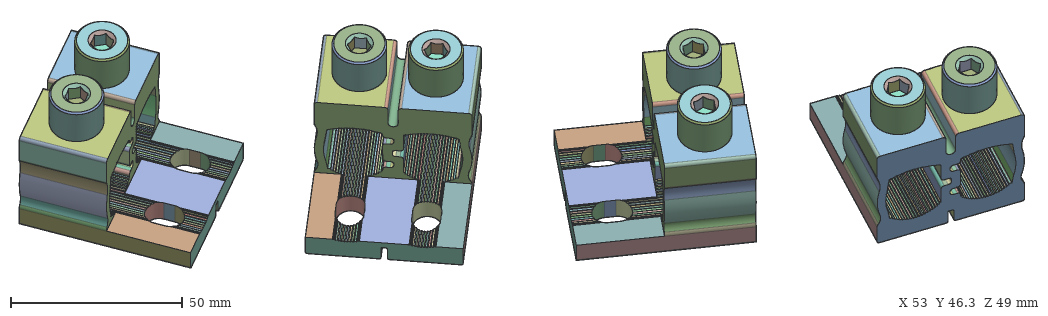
import cadquery as cq
import math

LENGTH = 53.0
WIDTH = 46.3
BLOCK_LENGTH = 27.05
BLOCK_HEIGHT = 37.0
PLATE_HEIGHT = 7.0
HALF_WIDTH = WIDTH / 2
TOP_CORNER_RADIUS = 1.0
BOTTOM_CORNER_RADIUS = 0.75

TOP_SLIT_WIDTH = 3.0
TOP_SLIT_FLOOR = 29.0
BOTTOM_SLIT_WIDTH = 1.8
BOTTOM_SLIT_HEIGHT = 4.9
BOTTOM_SLIT_RADIUS = 0.4

BORE_CENTER_Y = 11.25
BORE_INNER_Y = 3.1
BORE_OUTER_Y = 19.4
BORE_SHOULDER_Z = 25.65
BORE_CROWN_Z = 27.05
BORE_CORNER_RADIUS = 0.8

FLOOR_CENTER_Z = 17.7
TOOTH_VALLEY_RADIUS = 11.5
TOOTH_TIP_RADIUS = 11.15
TOOTH_PITCH_ANGLE = 4.4
OUTER_END = 19
INNER_END = -20
FLOOR_INNER_Z = 9.85
FLOOR_OUTER_Y = 19.2
FLOOR_OUTER_Z = 9.1

WALL_SLOT_HEIGHT = 2.55
WALL_SLOT_OVERLAP = 0.2
WALL_SLOT_RADIUS = 1.0
LOWER_SLOT_Z = 12.7
MIDDLE_SLOT_Z = 17.6
UPPER_SLOT_Z = 22.7

SCREW_X = BLOCK_LENGTH / 2
SCREW_RADIUS = 8.0
SCREW_TOP = 49.0
SCREW_CHAMFER = 0.55
SCREW_TIP_RADIUS = 2.2
SCREW_TIP_Z = 26.1
SCREW_SHANK_RADIUS = 3.45
SOCKET_FLATS = 6.0
SOCKET_DEPTH = 5.3
SOCKET_MOUTH_RADIUS = 4.1

MOUNT_SLOT_X = 40.75
MOUNT_SLOT_LENGTH = 11.9
MOUNT_SLOT_WIDTH = 8.5


def prism(outline):
    """Extrude a closed Y-Z outline along the whole length."""
    return outline.close().extrude(LENGTH)


def box(y_min, y_max, z_min, z_max):
    """Full-length bar with a rectangular section."""
    section = cq.Workplane("YZ").moveTo(y_min, z_min).lineTo(y_max, z_min)
    return prism(section.lineTo(y_max, z_max).lineTo(y_min, z_max))


def edges_along_x(y, z):
    """Selector for the edge along X that passes through a Y-Z point."""
    reach = 0.05
    return cq.selectors.BoxSelector(
        (0, y - reach, z - reach), (LENGTH, y + reach, z + reach)
    )


def mirrored(solid):
    """Copy of a solid on the other side of the middle plane."""
    return solid.mirror("XZ")


def make_bar():
    """Solid bar with rounded corners and wavy flanks."""
    bar = box(-HALF_WIDTH, HALF_WIDTH, 0, BLOCK_HEIGHT)
    bar = bar.edges("|X and >Z").fillet(TOP_CORNER_RADIUS)
    bar = bar.edges("|X and <Z").fillet(BOTTOM_CORNER_RADIUS)
    flank_top = 27.9
    flank_bottom = 6.85
    outside_y = HALF_WIDTH + 0.55
    flank = (
        cq.Workplane("YZ")
        .moveTo(HALF_WIDTH, flank_top)
        .threePointArc((23.1, 27.45), (22.9, 27.1))
        .threePointArc((22.25, 24.45), (22.5, 21.75))
        .threePointArc((23.1, 17.2), (22.15, 11.4))
        .threePointArc((22.05, 10.05), (22.75, 8.2))
        .threePointArc((23.05, 7.6), (HALF_WIDTH, flank_bottom))
        .lineTo(outside_y, flank_bottom)
        .lineTo(outside_y, flank_top)
    )
    relief = prism(flank)
    return bar.cut(relief).cut(mirrored(relief))


def cut_slits(bar):
    """Open the slits that part the two clamps from above and below."""
    half_top = TOP_SLIT_WIDTH / 2
    half_bottom = BOTTOM_SLIT_WIDTH / 2
    round_z = TOP_SLIT_FLOOR + half_top
    top_slit = prism(
        cq.Workplane("YZ")
        .moveTo(half_top, BLOCK_HEIGHT)
        .lineTo(half_top, round_z)
        .threePointArc((0, TOP_SLIT_FLOOR), (-half_top, round_z))
        .lineTo(-half_top, BLOCK_HEIGHT)
    )
    bottom_slit = box(-half_bottom, half_bottom, 0, BOTTOM_SLIT_HEIGHT)
    bottom_slit = bottom_slit.edges("|X and >Z").fillet(BOTTOM_SLIT_RADIUS)
    bar = bar.cut(top_slit).cut(bottom_slit)
    for side in (-1, 1):
        bar = bar.edges(edges_along_x(side * half_top, BLOCK_HEIGHT)).fillet(TOP_CORNER_RADIUS)
        bar = bar.edges(edges_along_x(side * half_bottom, 0)).fillet(BOTTOM_CORNER_RADIUS)
    return bar


def floor_point(half_pitches):
    """Tooth tip (even count) or valley (odd count) of the floor, counted from the bore axis."""
    angle = math.radians(half_pitches * TOOTH_PITCH_ANGLE / 2)
    radius = TOOTH_TIP_RADIUS if half_pitches % 2 == 0 else TOOTH_VALLEY_RADIUS
    return (BORE_CENTER_Y + radius * math.sin(angle), FLOOR_CENTER_Z - radius * math.cos(angle))


def make_bore(slot_heights):
    """Bore on the +Y side, with slots reaching into the middle wall."""
    bore = (
        cq.Workplane("YZ")
        .moveTo(BORE_INNER_Y, FLOOR_INNER_Z)
        .lineTo(BORE_INNER_Y, BORE_SHOULDER_Z)
        .threePointArc((BORE_CENTER_Y, BORE_CROWN_Z), (BORE_OUTER_Y, BORE_SHOULDER_Z))
        .lineTo(19.95, 21.2)
        .threePointArc((20.4, 16.95), (19.7, 12.2))
        .lineTo(FLOOR_OUTER_Y, FLOOR_OUTER_Z)
    )
    for half_pitches in range(OUTER_END, INNER_END - 1, -1):
        bore = bore.lineTo(*floor_point(half_pitches))
    bore = prism(bore)
    for y in (BORE_INNER_Y, BORE_OUTER_Y):
        bore = bore.edges(edges_along_x(y, BORE_SHOULDER_Z)).fillet(BORE_CORNER_RADIUS)
    for z in slot_heights:
        z_min = z - WALL_SLOT_HEIGHT / 2
        z_max = z + WALL_SLOT_HEIGHT / 2
        slot = box(-WALL_SLOT_OVERLAP, BORE_INNER_Y + 0.55, z_min, z_max)
        slot = slot.edges("|X and <Y").fillet(WALL_SLOT_RADIUS)
        bore = bore.union(slot)
        for corner_z in (z_min, z_max):
            bore = bore.edges(edges_along_x(BORE_INNER_Y, corner_z)).fillet(WALL_SLOT_RADIUS)
    return bore


def make_screw():
    """Clamp screw with a hexagon socket and a conical tip in the bore."""
    cone_z = SCREW_TIP_Z + SCREW_SHANK_RADIUS - SCREW_TIP_RADIUS
    screw = (
        cq.Workplane("XZ")
        .moveTo(0, SCREW_TIP_Z)
        .lineTo(SCREW_TIP_RADIUS, SCREW_TIP_Z)
        .lineTo(SCREW_SHANK_RADIUS, cone_z)
        .lineTo(SCREW_SHANK_RADIUS, BLOCK_HEIGHT)
        .lineTo(SCREW_RADIUS, BLOCK_HEIGHT)
        .lineTo(SCREW_RADIUS, SCREW_TOP - SCREW_CHAMFER)
        .lineTo(SCREW_RADIUS - SCREW_CHAMFER, SCREW_TOP)
        .lineTo(0, SCREW_TOP)
        .close()
        .revolve(360, (0, 0, 0), (0, 1, 0))
    )
    corner_diameter = SOCKET_FLATS / math.cos(math.pi / 6)
    socket = (
        cq.Workplane("XY", origin=(0, 0, SCREW_TOP - SOCKET_DEPTH))
        .transformed(rotate=(0, 0, 90))
        .polygon(6, corner_diameter)
        .extrude(SOCKET_DEPTH)
    )
    mouth = cq.Workplane(
        cq.Solid.makeCone(0, SOCKET_MOUTH_RADIUS, SOCKET_MOUTH_RADIUS)
    ).translate((0, 0, SCREW_TOP - SOCKET_MOUTH_RADIUS))
    return screw.cut(socket).cut(mouth)


body = cut_slits(make_bar())
body = body.cut(make_bore((MIDDLE_SLOT_Z,)))
body = body.cut(mirrored(make_bore((LOWER_SLOT_Z, UPPER_SLOT_Z))))

step_cut = box(-HALF_WIDTH, HALF_WIDTH, PLATE_HEIGHT, BLOCK_HEIGHT).translate((BLOCK_LENGTH, 0, 0))
body = body.cut(step_cut)

for bore_y in (-BORE_CENTER_Y, BORE_CENTER_Y):
    mount_slot = (
        cq.Workplane("XY")
        .center(MOUNT_SLOT_X, bore_y)
        .slot2D(MOUNT_SLOT_LENGTH, MOUNT_SLOT_WIDTH)
        .extrude(PLATE_HEIGHT)
    )
    body = body.cut(mount_slot)
    body = body.union(make_screw().translate((SCREW_X, bore_y, 0)))

result = body